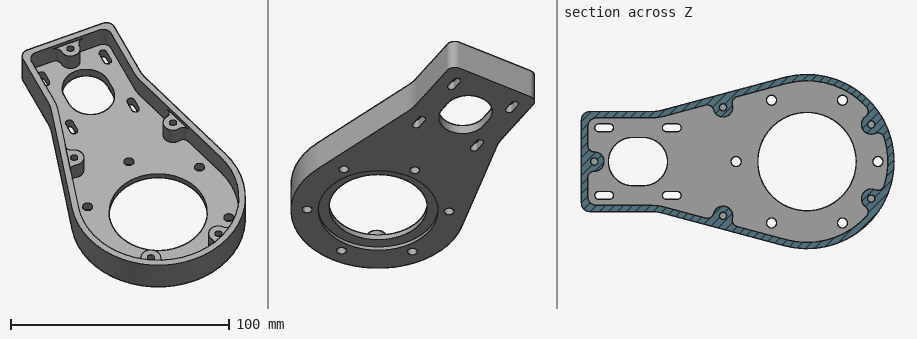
import cadquery as cq
import math

height = 16.0
floor_thickness = 5.0
wall = 3.0
head_radius = 40.0
tail_half_width = 23.0
taper_angle = math.radians(15.0)
corner_radius = 4.0
bend_radius = 20.0

motor_to_end = 26.0
motor_travel = 5.0
motor_opening_width = 22.0
motor_slot_width = 3.5
motor_hole_pitch = 31.0
tail_end_x = -103.5
motor_x = tail_end_x + motor_to_end

bore_diameter = 45.0
recess_diameter = 55.0
recess_depth = 2.0
bolt_count = 6
bolt_circle_diameter = 65.0
bolt_hole_diameter = 4.5

boss_radius = 4.5
boss_fillet = 3.0
boss_top = 14.0
screw_hole_diameter = 3.24
boss_inset = 6.0
boss_centre_radius = head_radius - boss_inset
head_boss_angle = math.radians(30.0)
side_boss_x = -38.5
side_boss_y = (boss_centre_radius + side_boss_x * math.sin(taper_angle)) / math.cos(taper_angle)
head_boss_x = boss_centre_radius * math.cos(head_boss_angle)
head_boss_y = boss_centre_radius * math.sin(head_boss_angle)
boss_centres = [
    (tail_end_x + boss_inset, 0),
    (side_boss_x, side_boss_y),
    (side_boss_x, -side_boss_y),
    (head_boss_x, head_boss_y),
    (head_boss_x, -head_boss_y),
]


def body_prism(end_x, half_width, radius, bend, bottom, top):
    """Prism of the housing outline between two heights."""
    tangent_x = -radius * math.sin(taper_angle)
    tangent_y = radius * math.cos(taper_angle)
    bend_x = (half_width * math.cos(taper_angle) - radius) / math.sin(taper_angle)
    prism = (
        cq.Workplane("XY", origin=(0, 0, bottom))
        .moveTo(end_x, -half_width)
        .lineTo(bend_x, -half_width)
        .lineTo(tangent_x, -tangent_y)
        .threePointArc((radius, 0), (tangent_x, tangent_y))
        .lineTo(bend_x, half_width)
        .lineTo(end_x, half_width)
        .close()
        .extrude(top - bottom)
    )
    prism = prism.edges("|Z and <X").fillet(corner_radius)
    for side in (-1, 1):
        bend_point = (bend_x, side * half_width, (bottom + top) / 2)
        prism = prism.edges(cq.NearestToPointSelector(bend_point)).fillet(bend)
    return prism


def inner_prism(bottom, top):
    """Prism of the space inside the wall."""
    end_x = tail_end_x + wall
    half_width = tail_half_width - wall
    radius = head_radius - wall
    bend = bend_radius + wall
    return body_prism(end_x, half_width, radius, bend, bottom, top)


def pocket():
    """Space inside the housing, narrowed by the bosses below their tops."""
    lower = inner_prism(floor_thickness, boss_top)
    bosses = (
        cq.Workplane("XY", origin=(0, 0, floor_thickness))
        .pushPoints(boss_centres)
        .circle(boss_radius)
        .extrude(boss_top - floor_thickness)
    )
    lower = lower.cut(bosses)
    reach = boss_radius + boss_fillet
    for x, y in boss_centres:
        around_boss = cq.selectors.BoxSelector((x - reach, y - reach, 0), (x + reach, y + reach, height))
        lower = lower.edges("|Z").edges(around_boss).fillet(boss_fillet)
    return lower.union(inner_prism(boss_top, height))


def motor_cuts():
    """Oblong motor opening and its four mounting slots."""
    floor = cq.Workplane("XY", origin=(motor_x, 0, 0))
    opening = floor.slot2D(motor_opening_width + motor_travel, motor_opening_width).extrude(floor_thickness)
    slots = (
        floor.rarray(motor_hole_pitch, motor_hole_pitch, 2, 2)
        .slot2D(motor_slot_width + motor_travel, motor_slot_width)
        .extrude(floor_thickness)
    )
    return opening.union(slots)


def bearing_cuts():
    """Head bore, the recess under it and the bolt holes around it."""
    floor = cq.Workplane("XY")
    bore = floor.circle(bore_diameter / 2).extrude(floor_thickness)
    recess = floor.circle(recess_diameter / 2).extrude(recess_depth)
    bolts = (
        floor.polarArray(bolt_circle_diameter / 2, 0, 360, bolt_count)
        .circle(bolt_hole_diameter / 2)
        .extrude(floor_thickness)
    )
    return bore.union(recess).union(bolts)


def screw_holes():
    """Blind screw holes running down each boss to floor level."""
    return (
        cq.Workplane("XY", origin=(0, 0, floor_thickness))
        .pushPoints(boss_centres)
        .circle(screw_hole_diameter / 2)
        .extrude(boss_top - floor_thickness)
    )


result = body_prism(tail_end_x, tail_half_width, head_radius, bend_radius, 0, height)
result = result.cut(pocket())
result = result.cut(motor_cuts())
result = result.cut(bearing_cuts())
result = result.cut(screw_holes())